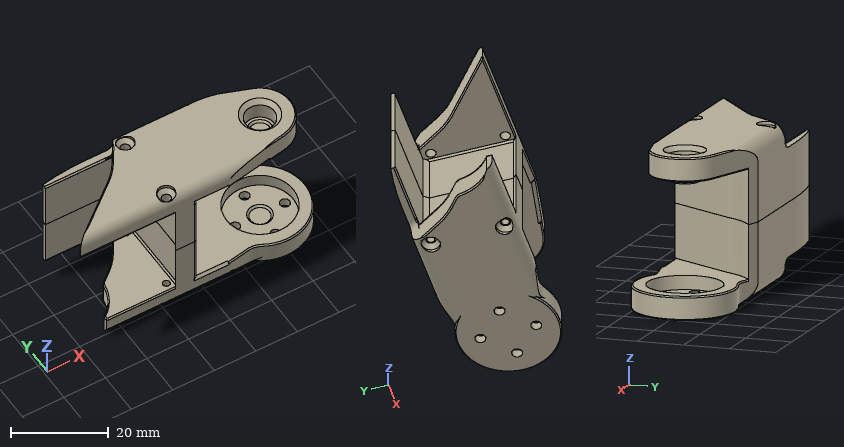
import cadquery as cq
import math


half_height = 16.7
arm_thickness = 5.1
inner_z = half_height - arm_thickness

back_y = 12.0
front_y = -10.0
tip_x = -49.51
end_corner = (-34.05, 2.65)
end_corner_radius = 16.5
end_back_x = -28.05
back_taper_x = -11.0
front_taper_x = -13.6
arm_end_radius = 7.45
edge_break = 0.3
back_round = 4.0
front_round = 3.0

scoop_x = -38.7
scoop_middle = (-40.1, -5.6)
scoop_tip = (-43.1, -8.9)
scoop_corner_radius = 2.0

plate_inner_y = 10.0
plate_end_x = -45.5
plate_end_thickness = 1.0
plate_curve_x = -34.5
plate_edge_break = 0.35
web_front_x = -25.7
web_lip = 0.87
inner_corner_width = 1.17
web_back_x = -22.0
web_back_break = (0.6, 0.3)
clearance_end_x = -8.2
clearance_y = 5.0
clearance_corner_radius = 1.0
plate_root_radius = 1.4
web_root_break = 0.4

screw_x = -27.5
screw_ys = (-8.0, 8.0)
screw_head_diameter = 4.0
screw_head_depth = 0.7
screw_clearance_diameter = 2.1
screw_thread_diameter = 1.6

upper_relief_leg = 1.0
taper_relief_leg = 0.75
relief_end_x = -2.5
lower_relief_leg = 0.6

pin_diameter = 6.6
pin_length = 1.4
pin_break = 0.35
bore_diameter = 6.85
bore_mouth_diameter = 8.9
bore_floor_z = 11.9

dimple_diameter = 5.46
dimple_depth = 0.45

disc_radius = 11.0
disc_blend_radius = 4.4
seat_diameter = 16.0
seat_depth = 3.0
disc_hole_diameter = 2.2
disc_hole_circle_radius = 6.0


def tangent_point(start, side):
    """Touch point on the arm end circle of the line from start; side is +1 above, -1 below."""
    distance = math.hypot(*start)
    angle = math.atan2(start[1], start[0]) - side * math.acos(arm_end_radius / distance)
    return (arm_end_radius * math.cos(angle), arm_end_radius * math.sin(angle))


back_taper_start = (back_taper_x, back_y)
front_taper_start = (front_taper_x, front_y)
back_tangent = tangent_point(back_taper_start, 1)
front_tangent = tangent_point(front_taper_start, -1)


def point_on_taper(x):
    """Point of the back taper line at the given X."""
    run = back_tangent[0] - back_taper_x
    rise = back_tangent[1] - back_y
    return (x, back_y + (x - back_taper_x) * rise / run)


def point_on_end(x):
    """Point of the slanted end, between the tip and the end corner, at the given X."""
    slope = (end_corner[1] - front_y) / (end_corner[0] - tip_x)
    return (x, front_y + (x - tip_x) * slope)


def arm_side_outline():
    """Outline shared by both arms, from the end corner round the pivot to the front taper."""
    return (
        cq.Workplane("XY", origin=(0, 0, inner_z))
        .moveTo(*end_corner)
        .lineTo(end_back_x, back_y)
        .lineTo(*back_taper_start)
        .lineTo(*back_tangent)
        .threePointArc((arm_end_radius, 0), front_tangent)
        .lineTo(*front_taper_start)
    )


def round_vertical_edge(body, x, y, radius):
    """Round the vertical edge that stands at (x, y)."""
    near = 0.2
    box = cq.selectors.BoxSelector((x - near, y - near, 0), (x + near, y + near, half_height))
    return body.edges("|Z").edges(box).fillet(radius)


def upper_arm_prism():
    prism = arm_side_outline().lineTo(tip_x, front_y).close().extrude(arm_thickness)
    return round_vertical_edge(prism, *end_corner, end_corner_radius)


def lower_arm_prism():
    """Arm with the scooped end and the pivot disc, blended into each other."""
    scoop_corner = point_on_end(scoop_x)
    prism = (
        arm_side_outline()
        .lineTo(scoop_tip[0], front_y)
        .lineTo(*scoop_tip)
        .threePointArc(scoop_middle, scoop_corner)
        .close()
        .extrude(arm_thickness)
    )
    prism = round_vertical_edge(prism, *end_corner, end_corner_radius)
    prism = round_vertical_edge(prism, *scoop_corner, scoop_corner_radius)
    disc = cq.Workplane("XY", origin=(0, 0, inner_z)).circle(disc_radius).extrude(arm_thickness)
    blend_zone = cq.selectors.BoxSelector(
        (-disc_radius, -disc_radius, 0), (-0.1, disc_radius, half_height)
    )
    return prism.union(disc).edges("|Z").edges(blend_zone).fillet(disc_blend_radius)


def rounded_envelope():
    """Cross-section with rounded outer edges, swept along the whole length."""
    length = 2 * abs(tip_x)
    width = back_y - front_y
    envelope = cq.Workplane("XY").box(length, width, half_height, centered=(True, False, False))
    envelope = envelope.translate((0, front_y, 0))
    envelope = envelope.edges("|X and >Z and >Y").fillet(back_round)
    return envelope.edges("|X and >Z and <Y").fillet(front_round)


def break_faces(prism):
    """Chamfer the edges round the inner and outer faces of a flat prism."""
    return prism.faces("<Z or >Z").edges().chamfer(edge_break)


def spine_outline(height):
    """Web and side plate, standing on the split plane."""
    plate_end_y = plate_inner_y + plate_end_thickness
    curve_run = plate_curve_x - plate_end_x
    bow_middle = (plate_end_x + curve_run / 2, back_y - (back_y - plate_end_y) / 4)
    clearance_end = point_on_taper(clearance_end_x)
    clearance_radius = math.hypot(*clearance_end)
    clearance_start = (-math.sqrt(clearance_radius**2 - clearance_y**2), clearance_y)
    middle_angle = (
        math.atan2(clearance_end[1], clearance_end[0]) + math.atan2(clearance_y, clearance_start[0])
    ) / 2
    clearance_middle = (
        clearance_radius * math.cos(middle_angle),
        clearance_radius * math.sin(middle_angle),
    )
    spine = (
        cq.Workplane("XY")
        .moveTo(plate_end_x, plate_inner_y)
        .lineTo(plate_end_x, plate_end_y)
        .threePointArc(bow_middle, (plate_curve_x, back_y))
        .lineTo(*back_taper_start)
        .lineTo(*clearance_end)
        .threePointArc(clearance_middle, clearance_start)
        .lineTo(web_back_x + web_back_break[0], front_y + web_back_break[1])
        .lineTo(web_back_x, front_y)
        .lineTo(web_front_x - web_lip, front_y)
        .lineTo(web_front_x, front_y + web_lip)
        .lineTo(web_front_x, plate_inner_y - inner_corner_width)
        .lineTo(web_front_x - web_lip, plate_inner_y)
        .close()
        .extrude(height)
    )
    return round_vertical_edge(spine, *clearance_start, clearance_corner_radius)


def screw_holes(hole_diameter):
    """Countersunk screw holes entered from the outer face."""
    cone_depth = (screw_head_diameter - screw_clearance_diameter) / 2
    head_z = half_height - screw_head_depth
    places = [(screw_x, y) for y in screw_ys]
    heads = cq.Workplane("XY", origin=(0, 0, head_z)).pushPoints(places)
    heads = heads.circle(screw_head_diameter / 2).extrude(screw_head_depth)
    cones = (
        cq.Workplane("XY", origin=(0, 0, head_z))
        .pushPoints(places)
        .circle(screw_head_diameter / 2)
        .extrude(-cone_depth, taper=45)
    )
    shanks = cq.Workplane("XY").pushPoints(places).circle(hole_diameter / 2).extrude(half_height)
    return heads.union(cones).union(shanks)


def half_shell(arm_prism):
    """Arm with rounded outer edges joined to its half of the spine."""
    arm = break_faces(arm_prism).intersect(rounded_envelope())
    root = spine_outline(inner_z + edge_break).intersect(arm_prism)
    body = arm.union(spine_outline(inner_z)).union(root)
    web_foot = cq.selectors.NearestToPointSelector((web_front_x, 0, inner_z))
    body = body.edges("|Y").edges(web_foot).chamfer(web_root_break)
    plate_edge = cq.selectors.NearestToPointSelector((plate_curve_x, plate_inner_y, inner_z))
    body = body.edges("|X").edges(plate_edge).chamfer(plate_edge_break)
    return body.union(plate_root())


def plate_root():
    """Concave fillet between the edge of the side plate and the slanted end of the arm."""
    run = back_y - end_corner[1]
    along = (end_back_x - end_corner[0], run, 0)
    across = (run, end_corner[0] - end_back_x, 0)
    frame = cq.Plane(origin=(end_back_x, back_y, inner_z), xDir=across, normal=along)
    rise = plate_root_radius * frame.yDir.z
    bulge = 1 - math.sqrt(0.5)
    overlap = edge_break
    fillet = (
        cq.Workplane(frame)
        .moveTo(-plate_root_radius, 0)
        .threePointArc((-plate_root_radius * bulge, rise * bulge), (0, rise))
        .lineTo(overlap, rise)
        .lineTo(overlap, 0)
        .close()
        .extrude(run, both=True)
    )
    plate_width = back_y - plate_inner_y
    zone = cq.Workplane("XY").box(run, plate_width, half_height, centered=(True, False, False))
    return fillet.intersect(zone.translate((end_back_x, plate_inner_y, 0)))


def edge_relief(start, end, leg):
    """Wedge that bevels the inner arm edge between two points of the outline."""
    length = math.dist(start, end)
    along = (end[0] - start[0], end[1] - start[1], 0)
    frame = cq.Plane(origin=(*start, inner_z), xDir=(along[1], -along[0], 0), normal=along)
    corners = [(leg, -2 * leg), (leg, 0), (-leg, 0)]
    return cq.Workplane(frame).polyline(corners).close().extrude(length)


def upper_half():
    body = half_shell(upper_arm_prism())
    pin = cq.Workplane("XY", origin=(0, 0, inner_z)).circle(pin_diameter / 2).extrude(-pin_length)
    body = body.union(pin.faces("<Z").edges().chamfer(pin_break))
    relief_slope = (front_tangent[1] - front_y) / (front_tangent[0] - front_taper_x)
    relief_end = (relief_end_x, front_y + (relief_end_x - front_taper_x) * relief_slope)
    body = body.cut(edge_relief((web_back_x, front_y), front_taper_start, upper_relief_leg))
    body = body.cut(edge_relief(front_taper_start, relief_end, taper_relief_leg))
    return body.cut(pivot_bore()).cut(screw_holes(screw_clearance_diameter))


def pivot_bore():
    """Blind bore above the pin, with a flared mouth and a shallow conical dimple in its floor."""
    mouth_depth = (bore_mouth_diameter - bore_diameter) / 2
    bore = cq.Workplane("XY", origin=(0, 0, bore_floor_z)).circle(bore_diameter / 2).extrude(arm_thickness)
    mouth = (
        cq.Workplane("XY", origin=(0, 0, half_height))
        .circle(bore_mouth_diameter / 2)
        .extrude(-mouth_depth, taper=45)
    )
    dimple = (
        cq.Workplane("XY", origin=(0, 0, bore_floor_z))
        .circle(dimple_diameter / 2)
        .extrude(-dimple_depth, taper=45)
    )
    return bore.union(mouth).union(dimple)


def lower_half():
    """Built pointing up, then mirrored below the split plane."""
    body = half_shell(lower_arm_prism())
    disc = cq.Workplane("XY", origin=(0, 0, inner_z)).circle(disc_radius).extrude(arm_thickness)
    body = body.union(break_faces(disc))
    body = body.cut(edge_relief((web_back_x, front_y), front_taper_start, lower_relief_leg))
    return body.cut(pivot_seat()).cut(screw_holes(screw_thread_diameter)).mirror("XY")


def pivot_seat():
    """Round recess with four through holes and a conical dimple in its floor."""
    floor_z = inner_z + seat_depth
    seat = cq.Workplane("XY", origin=(0, 0, inner_z)).circle(seat_diameter / 2).extrude(seat_depth)
    holes = (
        cq.Workplane("XY", origin=(0, 0, inner_z))
        .polarArray(disc_hole_circle_radius, 0, 360, 4)
        .circle(disc_hole_diameter / 2)
        .extrude(arm_thickness)
    )
    dimple = (
        cq.Workplane("XY", origin=(0, 0, floor_z))
        .circle(dimple_diameter / 2)
        .extrude(dimple_depth, taper=45)
    )
    return seat.union(holes).union(dimple)


upper = upper_half()
lower = lower_half()
result = cq.Compound.makeCompound([upper.val(), lower.val()])